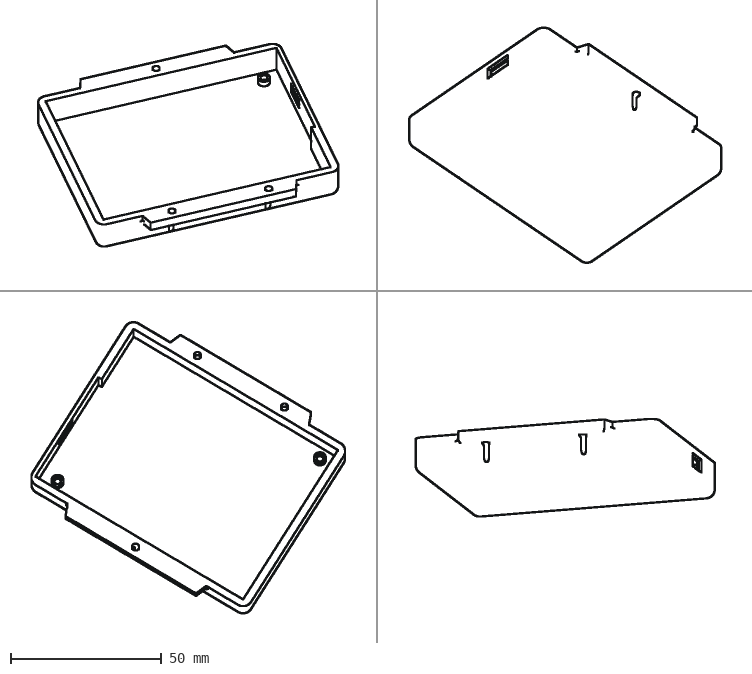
import cadquery as cq

overall_width = 73.0
length = 85
height = 12.0

tray_width = 65.1
tray_corner_radius = 3.15
floor_thickness = 2.0
side_wall = 2.5
front_wall = 2.7
back_wall = 2.8
thin_back_wall = 1.5
thin_wall_end_x = 9.9

flange_thickness = 4.0
flange_outer_length = 50.8
flange_root_length = 53.9
flange_edge_radius = 1.0
flange_root_radius = 1.0
root_blend_outer_drop = 2.55
root_blend_inner_drop = 1.95

screw_diameter = 2.4
flange_hole_x = 33.4
flange_hole_y = 16.9
boss_diameter = 4.0
boss_height = 2.0
boss_centres = [(-25.7, 35.1), (26.4, -35.0)]

port_width = 8.6
port_height = 3.5
port_centre_x = -10.9
port_sill = 3.6
port_flare_depth = 0.85
port_flare_spread = 0.4

cavity_width = tray_width - 2 * side_wall
flange_bottom = height - flange_thickness


def block(x_min, x_max, y_min, y_max, z_min, z_max):
    """Axis-aligned box given by its limits."""
    size = (x_max - x_min, y_max - y_min, z_max - z_min)
    return cq.Workplane("XY").box(*size, centered=False).translate((x_min, y_min, z_min))


def make_shell():
    """Solid tray body with rounded corners and a rounded bottom edge."""
    body = cq.Workplane("XY").box(tray_width, length, height, centered=(True, True, False))
    return body.edges("|Z").fillet(tray_corner_radius).faces("<Z").edges().fillet(tray_corner_radius)


def make_flange(side):
    """Tapered flange with rounded lower edges; side is -1 for left, +1 for right."""
    root_x = side * tray_width / 2
    inner_x = side * (tray_width / 2 - side_wall)
    outer_x = side * overall_width / 2
    half_root = flange_root_length / 2
    half_outer = flange_outer_length / 2
    outline = [
        (inner_x, -half_root),
        (root_x, -half_root),
        (outer_x, -half_outer),
        (outer_x, half_outer),
        (root_x, half_root),
        (inner_x, half_root),
    ]
    flange = cq.Workplane("XY").workplane(offset=flange_bottom).polyline(outline).close()
    flange = flange.extrude(flange_thickness)
    inner_edge = "<X" if side > 0 else ">X"
    return flange.faces("<Z").edges(f"not {inner_edge}").fillet(flange_edge_radius)


def round_flange_root(body, side):
    """Blend a flange into the tray wall around its underside, fading out part way up its ends."""
    root_edge = cq.selectors.NearestToPointSelector((side * tray_width / 2, 0, flange_bottom))
    blended = body.edges(root_edge).fillet(flange_root_radius)

    half_root = flange_root_length / 2
    outer_z = height - root_blend_outer_drop
    inner_z = height - root_blend_inner_drop
    limit_outline = [
        (-length / 2, 0),
        (-length / 2, outer_z),
        (-half_root - flange_root_radius, outer_z),
        (-half_root, inner_z),
        (half_root, inner_z),
        (half_root + flange_root_radius, outer_z),
        (length / 2, outer_z),
        (length / 2, 0),
    ]
    blend_limit = cq.Workplane("YZ").polyline(limit_outline).close().extrude(overall_width / 2, both=True)
    return body.union(blended.intersect(blend_limit))


def make_cavity():
    """Inside of the tray, reaching further back where the back wall is thin."""
    half_width = cavity_width / 2
    front_y = front_wall - length / 2
    back_y = length / 2 - back_wall
    recess_y = length / 2 - thin_back_wall
    main = block(-half_width, half_width, front_y, back_y, floor_thickness, height)
    recess = block(-half_width, thin_wall_end_x, front_y, recess_y, floor_thickness, height)
    return main.union(recess)


def make_bosses():
    """Hollow screw bosses standing on the floor."""
    floor = cq.Workplane("XY").workplane(offset=floor_thickness).pushPoints(boss_centres)
    return floor.circle(boss_diameter / 2).circle(screw_diameter / 2).extrude(boss_height)


def make_flange_holes():
    """Vertical screw holes that also groove the tray walls below the flanges."""
    centres = [(-flange_hole_x, 0), (flange_hole_x, flange_hole_y), (flange_hole_x, -flange_hole_y)]
    return cq.Workplane("XY").pushPoints(centres).circle(screw_diameter / 2).extrude(height)


def make_port():
    """Rectangular opening through the thin back wall, flared on the outside."""
    left_x = port_centre_x - port_width / 2
    bottom_z = floor_thickness + port_sill
    centre_z = bottom_z + port_height / 2
    inner_y = length / 2 - thin_back_wall
    opening = block(left_x, left_x + port_width, inner_y, length / 2, bottom_z, bottom_z + port_height)

    flare_start = cq.Workplane("XZ", origin=(port_centre_x, length / 2 - port_flare_depth, centre_z))
    flare = (
        flare_start.rect(port_width, port_height)
        .workplane(offset=-port_flare_depth)
        .rect(port_width + 2 * port_flare_spread, port_height + 2 * port_flare_spread)
        .loft(ruled=True)
    )
    return opening.union(flare)


result = make_shell()
for side in (-1, 1):
    result = result.union(make_flange(side))
    result = round_flange_root(result, side)
result = result.cut(make_cavity()).union(make_bosses())
result = result.cut(make_flange_holes()).cut(make_port())